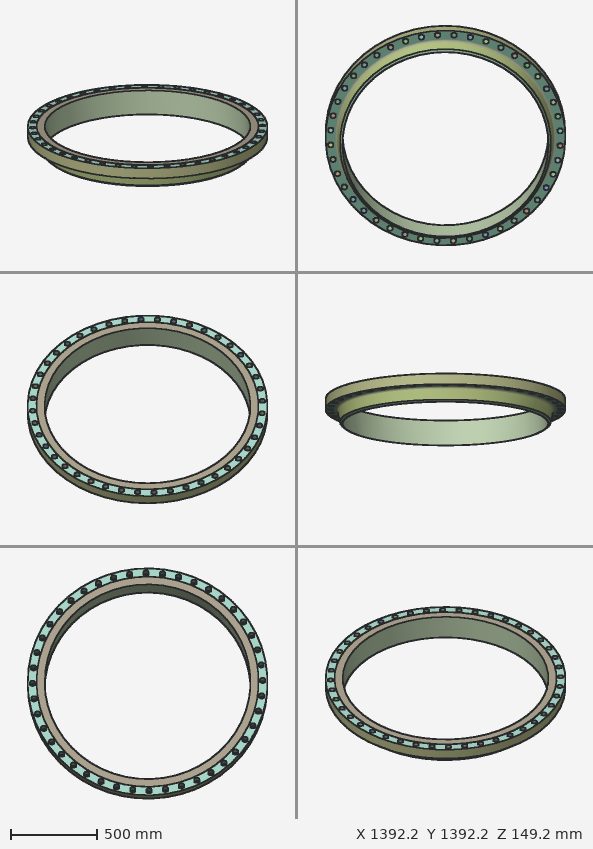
import cadquery as cq
import math

flange_diameter = 1392.24
overall_height = 149.22
flange_thickness = 65.1
raised_face_diameter = 1289.05
raised_face_height = 1.6
bore_diameter = 1193.8

hub_base_diameter = 1257.3
hub_end_diameter = 1225.0
hub_fillet_radius = 12.7
weld_land_width = 1.6
weld_bevel_angle = 37.5

bolt_circle_diameter = 1335.09
bolt_hole_diameter = 31.75
bolt_hole_count = 44

top_z = 0.0
bolting_face_z = top_z - raised_face_height
flange_back_z = top_z - flange_thickness
weld_end_z = top_z - overall_height

full_turn = 360

bore_radius = bore_diameter / 2
hub_end_radius = hub_end_diameter / 2
weld_land_radius = bore_radius + weld_land_width
bevel_height = (hub_end_radius - weld_land_radius) * math.tan(math.radians(weld_bevel_angle))
bevel_top_z = weld_end_z + bevel_height


def flange_body():
    """Revolve half of the cross-section, drawn on the -X side, about the Z axis."""
    profile = [
        (-bore_radius, top_z),
        (-raised_face_diameter / 2, top_z),
        (-raised_face_diameter / 2, bolting_face_z),
        (-flange_diameter / 2, bolting_face_z),
        (-flange_diameter / 2, flange_back_z),
        (-hub_base_diameter / 2, flange_back_z),
        (-hub_end_radius, bevel_top_z),
        (-weld_land_radius, weld_end_z),
        (-bore_radius, weld_end_z),
    ]
    return cq.Workplane("XZ").polyline(profile).close().revolve(full_turn, (0, 0, 0), (0, 1, 0))


def round_hub_root(body):
    """Fillet the inside corner where the hub meets the back of the flange."""
    reach = hub_fillet_radius / 2
    around_flange_back = cq.selectors.BoxSelector(
        (-flange_diameter, -flange_diameter, flange_back_z - reach),
        (flange_diameter, flange_diameter, flange_back_z + reach),
    )
    smallest_circle = cq.selectors.RadiusNthSelector(0)
    return body.edges(around_flange_back).edges("%CIRCLE").edges(smallest_circle).fillet(hub_fillet_radius)


def bolt_holes():
    """Through-hole cutters spaced evenly around the bolt circle, one of them on the X axis."""
    return (
        cq.Workplane("XY")
        .workplane(offset=flange_back_z)
        .polarArray(bolt_circle_diameter / 2, 0, full_turn, bolt_hole_count)
        .circle(bolt_hole_diameter / 2)
        .extrude(flange_thickness)
    )


result = round_hub_root(flange_body()).cut(bolt_holes())